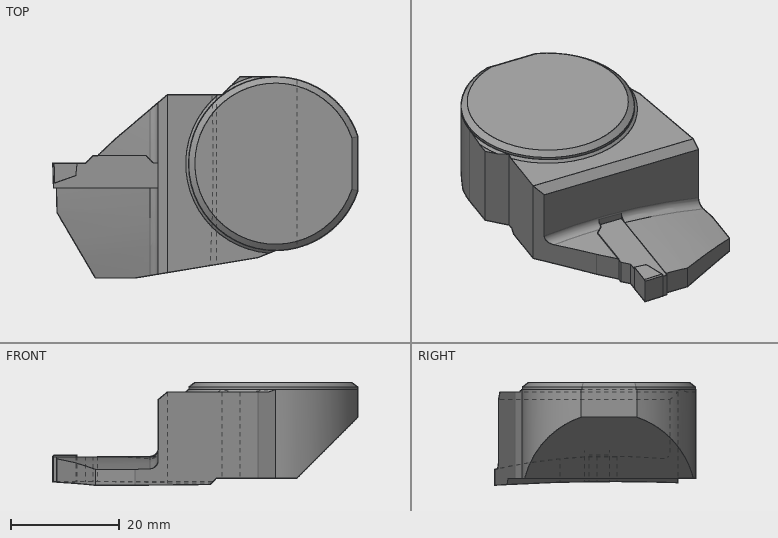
import cadquery as cq
import math

BODY_RADIUS = 16.0
DISC_RADIUS = 15.95
DISC_TOP = 17.6
DISC_BEVEL_WIDTH = 1.1
DISC_BEVEL_HEIGHT = 0.85
DISC_BASE = 16.3
COLLAR_RADIUS = 16.5
FLAT_X = 15.15
HEAD_TOP = 15.9
HEAD_RELIEF = 11.2

WALL_X = -21.55
WALL_BEVEL_WIDTH = 1.7
WALL_BEVEL_HEIGHT = 1.4
WALL_FILLET = 1.5
BACK_Y = 12.7
EAR_LEFT = -9.8
FRONT_Y = -21.05
SHOULDER = (-3.2, -17.3)

BACK_KINK = (-29.5, 4.5)
BACK_EDGE_START = -32.7
ARM_END_X = -40.3
ARM_CORNER = (-40.15, -9.0)
FRONT_LEFT = -33.1
FRONT_RIGHT = -25.8

CROWN_Y = 0.55
ARM_TOP = 4.05
ARM_TOP_RADIUS = 98.2
ARM_BOTTOM = -0.6
ARM_BOTTOM_RADIUS = 336.6
ARM_STEP_X = -10.8

TIP_X = -40.95
NOSE_X = -40.8
TIP_FOOT = (-40.85, -3.65)
TIP_INNER = (-36.7, -2.2)
TIP_BACK_X = -36.45
TIP_TOP = 4.25
TIP_BOTTOM = -0.7
TIP_BEVEL_WIDTH = 0.3
TIP_BEVEL_HEIGHT = 0.2
STRIP_FLOOR = 3.85
STRIP_FRONT_Y = -4.5
STRIP_BACK_Y = 0.1
STRIP_WIDE_Y = 1.45
STRIP_WIDE_START = -33.55
STRIP_WIDE_END = -23.8
STRIP_END = -21.6
STRIP_RAMP = STRIP_WIDE_Y - STRIP_BACK_Y

MARGIN = 11.2
X_MIN = TIP_X - MARGIN
X_MAX = FLAT_X + MARGIN
Y_MIN = FRONT_Y - MARGIN
Y_MAX = BODY_RADIUS + MARGIN
Z_MIN = -MARGIN
Z_MAX = DISC_TOP + MARGIN


def crowned_region(crest, radius, far_z, x_start, x_end):
    """Solid between far_z and a crowned face that curves about the X direction."""
    def height(y):
        return crest - radius + math.sqrt(radius**2 - (y - CROWN_Y)**2)

    return (
        cq.Workplane("YZ", origin=(x_start, 0, 0))
        .moveTo(Y_MIN, height(Y_MIN))
        .threePointArc((CROWN_Y, crest), (Y_MAX, height(Y_MAX)))
        .lineTo(Y_MAX, far_z)
        .lineTo(Y_MIN, far_z)
        .close()
        .extrude(x_end - x_start)
    )


def side_prism(points):
    """Prism across the whole width from an outline in X and Z."""
    return cq.Workplane("XZ", origin=(0, Y_MAX, 0)).polyline(points).close().extrude(Y_MAX - Y_MIN)


def footprint():
    """Head and arm outline, extruded to the head top."""
    flat_half = math.sqrt(BODY_RADIUS**2 - FLAT_X**2)
    ear_rise = BODY_RADIUS - BACK_Y
    diagonal = BODY_RADIUS * math.sqrt(0.5)
    return (
        cq.Workplane("XY", origin=(0, 0, Z_MIN))
        .moveTo(0, -BODY_RADIUS)
        .threePointArc((diagonal, -diagonal), (FLAT_X, -flat_half))
        .lineTo(FLAT_X, flat_half)
        .threePointArc((diagonal, diagonal), (0, BODY_RADIUS))
        .lineTo(EAR_LEFT + ear_rise, BODY_RADIUS)
        .lineTo(EAR_LEFT, BACK_Y)
        .lineTo(WALL_X + WALL_BEVEL_WIDTH, BACK_Y)
        .lineTo(*BACK_KINK)
        .lineTo(BACK_EDGE_START, STRIP_WIDE_Y)
        .lineTo(STRIP_WIDE_START, STRIP_WIDE_Y)
        .lineTo(STRIP_WIDE_START - STRIP_RAMP, STRIP_BACK_Y)
        .lineTo(TIP_X, STRIP_BACK_Y)
        .lineTo(*TIP_FOOT)
        .lineTo(NOSE_X, STRIP_FRONT_Y)
        .lineTo(ARM_END_X, STRIP_FRONT_Y)
        .lineTo(*ARM_CORNER)
        .lineTo(FRONT_LEFT, FRONT_Y)
        .lineTo(FRONT_RIGHT, FRONT_Y)
        .lineTo(*SHOULDER)
        .close()
        .extrude(HEAD_TOP - Z_MIN)
    )


def underside_cut():
    """Space under the crowned arm, the step and the flat head."""
    arm_space = crowned_region(ARM_BOTTOM, ARM_BOTTOM_RADIUS, Z_MIN * 2, X_MIN, X_MAX)
    head_space = side_prism([
        (ARM_STEP_X, 0),
        (X_MAX, 0),
        (X_MAX, Z_MIN),
        (ARM_STEP_X + Z_MIN, Z_MIN),
    ])
    return arm_space.union(head_space)


def relief_cut():
    return side_prism([
        (FLAT_X - HEAD_RELIEF, 0),
        (FLAT_X + MARGIN, HEAD_RELIEF + MARGIN),
        (FLAT_X + MARGIN, 0),
    ])


def wall_bevel_cut():
    return side_prism([
        (WALL_X, HEAD_TOP),
        (WALL_X, HEAD_TOP - WALL_BEVEL_HEIGHT),
        (WALL_X + WALL_BEVEL_WIDTH, HEAD_TOP),
    ])


def space_above_arm():
    """Space above the arm, rounded where the arm meets the wall."""
    space = crowned_region(ARM_TOP, ARM_TOP_RADIUS, Z_MAX, X_MIN, WALL_X)
    return space.faces(">X").edges("<Z").fillet(WALL_FILLET)


def strip_cut():
    return (
        cq.Workplane("XY", origin=(0, 0, STRIP_FLOOR))
        .polyline([
            (X_MIN, STRIP_FRONT_Y),
            (STRIP_END, STRIP_FRONT_Y),
            (STRIP_END, STRIP_BACK_Y),
            (STRIP_WIDE_END + STRIP_RAMP, STRIP_BACK_Y),
            (STRIP_WIDE_END, STRIP_WIDE_Y),
            (X_MIN, STRIP_WIDE_Y),
        ])
        .close()
        .extrude(MARGIN)
    )


def disc():
    """Bevelled disc, flattened on one side with the same bevel along the flat."""
    bevel_base = DISC_TOP - DISC_BEVEL_HEIGHT
    round_disc = (
        cq.Workplane("XZ")
        .polyline([
            (0, DISC_BASE),
            (DISC_RADIUS, DISC_BASE),
            (DISC_RADIUS, bevel_base),
            (DISC_RADIUS - DISC_BEVEL_WIDTH, DISC_TOP),
            (0, DISC_TOP),
        ])
        .close()
        .revolve(360, (0, 0, 0), (0, 1, 0))
    )
    flat_limit = side_prism([
        (X_MIN, 0),
        (FLAT_X, 0),
        (FLAT_X, bevel_base),
        (FLAT_X - DISC_BEVEL_WIDTH, DISC_TOP),
        (X_MIN, DISC_TOP),
    ])
    return round_disc.intersect(flat_limit)


def collar():
    """Flare from the disc out to the head top, trimmed to the head outline."""
    flare = (
        cq.Workplane("XZ")
        .polyline([(0, HEAD_TOP), (COLLAR_RADIUS, HEAD_TOP), (BODY_RADIUS, DISC_BASE), (0, DISC_BASE)])
        .close()
        .revolve(360, (0, 0, 0), (0, 1, 0))
    )
    return flare.intersect(footprint().translate((0, 0, DISC_BASE - HEAD_TOP)))


def tip_prism(bottom, top):
    """Tip outline extruded between two heights."""
    return (
        cq.Workplane("XY", origin=(0, 0, bottom))
        .polyline([(TIP_X, STRIP_BACK_Y), TIP_FOOT, TIP_INNER, (TIP_BACK_X, STRIP_BACK_Y)])
        .close()
        .extrude(top - bottom)
    )


def make_tip():
    """Cutting tip: a full-height prism with a bevelled cutting edge."""
    tip = tip_prism(TIP_BOTTOM, TIP_TOP)
    return tip.faces("<X").edges(">Z").chamfer(TIP_BEVEL_HEIGHT, TIP_BEVEL_WIDTH)


def make_holder():
    return (
        footprint()
        .cut(underside_cut())
        .cut(relief_cut())
        .cut(wall_bevel_cut())
        .cut(space_above_arm())
        .cut(strip_cut())
        .union(collar())
        .union(disc())
        .cut(tip_prism(Z_MIN, Z_MAX))
    )


holder = make_holder()
tip = make_tip()
result = cq.Compound.makeCompound([holder.val(), tip.val()])